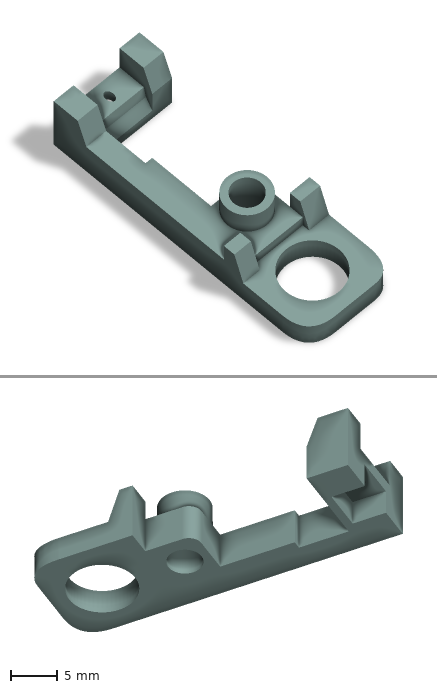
import cadquery as cq

length = 39.0
width = 13.0
base_height = 3.0
deck_height = 4.5
boss_height = 7.5
mid_y = width / 2

front_rail_width = 3.0
back_rail_y = 10.0

left_end_length = 5.0
left_post_top_length = 3.65
left_post_height = 8.0
bridge_top_length = 3.7
bridge_foot_length = 4.0
ledge_end_height = 1.4
slot_width = 5.05
pin_hole_x = 2.0
pin_hole_length = 1.6
pin_hole_width = 1.1

arm_step_x = 11.0
arm_width = 4.0
block_x = 20.0
block_corner_radius = 1.52
deck_end_x = 28.0
boss_x = 23.0
boss_diameter = 6.0
boss_bore = 4.0

plate_x = 26.0
short_post_top_end_x = 27.6
short_post_foot_end_x = 28.98
short_post_height = 7.0
short_post_front_width = 2.5
ring_hole_x = 33.0
ring_hole_diameter = 8.0
corner_length = 4.0
front_corner_depth = 4.0


def box(x_start, x_end, y_start, y_end, z_start, z_end):
    size = (x_end - x_start, y_end - y_start, z_end - z_start)
    return cq.Workplane("XY").box(*size, centered=False).translate((x_start, y_start, z_start))


def sloped_post(x_start, top_end, foot_end, y_start, y_end, slope_foot, height):
    """Full-height post whose +X face leans back above slope_foot."""
    profile = [
        (x_start, 0),
        (foot_end, 0),
        (foot_end, slope_foot),
        (top_end, height),
        (x_start, height),
    ]
    post = cq.Workplane("XZ").polyline(profile).close().extrude(y_start - y_end)
    return post.translate((0, y_start, 0))


def left_end():
    """Bridge over an open slot, ending in a two-slope wall, with a post on each side."""
    profile = [
        (0, 0),
        (left_end_length, 0),
        (left_end_length, ledge_end_height),
        (bridge_foot_length, base_height),
        (bridge_top_length, deck_height),
        (0, deck_height),
    ]
    body = cq.Workplane("XZ").polyline(profile).close().extrude(-width)
    for y_start, y_end in [(0, front_rail_width), (back_rail_y, width)]:
        body = body.union(
            sloped_post(
                0, left_post_top_length, left_end_length,
                y_start, y_end, deck_height, left_post_height,
            )
        )
    slot_start = mid_y - slot_width / 2
    slot = box(0, bridge_foot_length, slot_start, slot_start + slot_width, 0, base_height)
    pin_hole = (
        cq.Workplane("XY")
        .center(pin_hole_x, mid_y)
        .ellipse(pin_hole_length / 2, pin_hole_width / 2)
        .extrude(deck_height)
    )
    return body.cut(slot).cut(pin_hole)


def arm():
    """Stepped bar along the front, leading to the block that carries the boss."""
    bar = box(0, deck_end_x, 0, front_rail_width, 0, deck_height)
    bar = bar.cut(box(0, left_end_length, 0, width, 0, deck_height))
    wide_bar = box(arm_step_x, deck_end_x, 0, arm_width, 0, deck_height)
    block = box(block_x, deck_end_x, 0, back_rail_y, 0, deck_height)
    block = block.edges("|Z and <X and >Y").fillet(block_corner_radius)
    boss = cq.Workplane("XY").center(boss_x, mid_y).circle(boss_diameter / 2).extrude(boss_height)
    return bar.union(wide_bar).union(block).union(boss)


def ring_plate():
    """Plate whose two outer corners are parabolic curves, deeper at the front."""
    corner_x = length - corner_length
    return (
        cq.Workplane("XY")
        .moveTo(plate_x, 0)
        .lineTo(corner_x, 0)
        .bezier([(corner_x, 0), (length, 0), (length, front_corner_depth)])
        .lineTo(length, back_rail_y)
        .bezier([(length, back_rail_y), (length, width), (corner_x, width)])
        .lineTo(plate_x, width)
        .close()
        .extrude(base_height)
    )


def short_posts():
    front, back = [
        sloped_post(
            plate_x, short_post_top_end_x, short_post_foot_end_x,
            y_start, y_end, base_height, short_post_height,
        )
        for y_start, y_end in [(0, short_post_front_width), (back_rail_y, width)]
    ]
    return front.union(back)


def through_hole(x, diameter):
    return cq.Workplane("XY").center(x, mid_y).circle(diameter / 2).extrude(boss_height)


result = left_end().union(arm()).union(ring_plate()).union(short_posts())
result = result.cut(through_hole(boss_x, boss_bore))
result = result.cut(through_hole(ring_hole_x, ring_hole_diameter)).clean()